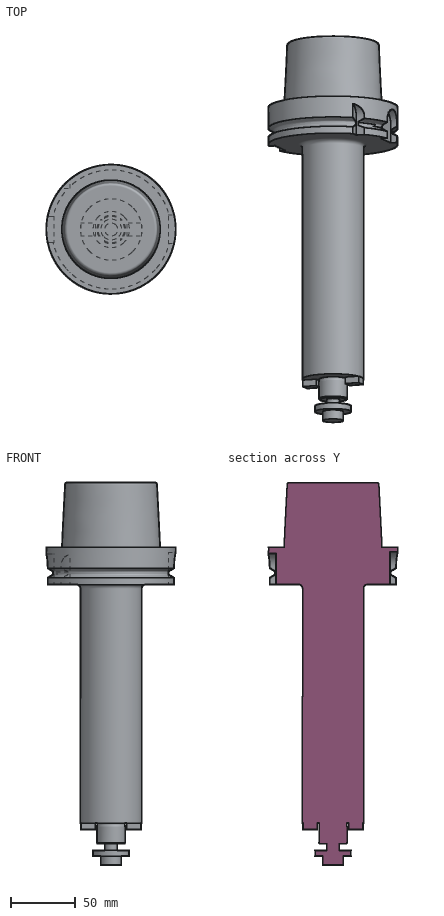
import cadquery as cq
import math


shank_height = 50.0
shank_base_dia = 76.0
shank_taper = 0.1
shank_edge_radius = 2.0

flange_dia = 100.0
flange_height = 29.0
groove_centre_depth = 20.0
groove_root_dia = 92.0
groove_root_width = 2.7
groove_root_fillet = 1.0
groove_half_angle = 30.0

body_dia = 47.5
body_bottom_z = -213.0
body_fillet = 3.0

spigot_dia = 22.0
spigot_length = 16.0
spigot_chamfer = 0.8
relief_dia = 21.4
relief_length = 2.5
relief_runout_angle = 15.0

screw_neck_dia = 10.0
screw_collar_dia = 28.0
screw_collar_thickness = 4.5
screw_head_dia = 16.0
screw_head_height = 7.0
screw_bottom_z = -245.5

key_outer_distance = 23.3
key_width = 10.0
key_height = 5.0
key_inner_distance = 12.0

slot_centre_depth = 15.0
slot_floor_distance = 44.0
left_slot_width = 20.0
right_slot_width = 22.0
side_notch_width = 20.0
side_notch_centre_y = 41.5
side_notch_floor_distance = 32.0


def cylinder(diameter, top_z, bottom_z):
    """Cylinder on the Z axis between two heights."""
    return cq.Workplane("XY").workplane(offset=bottom_z).circle(diameter / 2).extrude(top_z - bottom_z)


def taper_shank():
    top_dia = shank_base_dia - shank_taper * shank_height
    cone = (
        cq.Workplane("XY")
        .circle(shank_base_dia / 2)
        .workplane(offset=shank_height)
        .circle(top_dia / 2)
        .loft()
    )
    return cone.faces(">Z").edges().fillet(shank_edge_radius)


def flange():
    rim_radius = flange_dia / 2
    root_radius = groove_root_dia / 2
    flank_height = (rim_radius - root_radius) * math.tan(math.radians(groove_half_angle))
    root_half_width = groove_root_width / 2
    mouth_half_width = root_half_width + flank_height
    groove = (
        cq.Workplane("XZ")
        .moveTo(rim_radius, -groove_centre_depth + mouth_half_width)
        .lineTo(root_radius, -groove_centre_depth + root_half_width)
        .lineTo(root_radius, -groove_centre_depth - root_half_width)
        .lineTo(rim_radius, -groove_centre_depth - mouth_half_width)
        .close()
        .revolve(360, (0, 0, 0), (0, 1, 0))
    )
    groove = groove.edges(cq.selectors.RadiusNthSelector(0)).fillet(groove_root_fillet)
    return cylinder(flange_dia, 0, -flange_height).cut(groove)


def flange_slot(width, centre_y, floor_distance, side):
    """Cutter for a round-topped slot whose floor faces -X (side = -1) or +X (side = 1)."""
    radius = width / 2
    straight_length = flange_height - slot_centre_depth
    depth = flange_dia / 2 - floor_distance
    return (
        cq.Workplane("YZ", origin=(side * floor_distance, centre_y, -slot_centre_depth))
        .moveTo(-radius, -straight_length)
        .lineTo(-radius, 0)
        .threePointArc((0, radius), (radius, 0))
        .lineTo(radius, -straight_length)
        .close()
        .extrude(side * depth)
    )


def body():
    """Body with a concave fillet where it meets the flange underside."""
    radius = body_dia / 2
    flare_radius = radius + body_fillet
    fillet_end_z = -flange_height - body_fillet
    arc_offset = body_fillet * (1 - math.sqrt(0.5))
    return (
        cq.Workplane("XZ")
        .moveTo(0, -flange_height)
        .lineTo(flare_radius, -flange_height)
        .threePointArc((radius + arc_offset, -flange_height - arc_offset), (radius, fillet_end_z))
        .lineTo(radius, body_bottom_z)
        .lineTo(0, body_bottom_z)
        .close()
        .revolve(360, (0, 0, 0), (0, 1, 0))
    )


def spigot():
    """Spigot with a shallow undercut next to the body that runs out in a cone."""
    spigot_radius = spigot_dia / 2
    relief_radius = relief_dia / 2
    spigot_bottom_z = body_bottom_z - spigot_length
    relief_bottom_z = body_bottom_z - relief_length
    runout_length = (spigot_radius - relief_radius) / math.tan(math.radians(relief_runout_angle))
    return (
        cq.Workplane("XZ")
        .moveTo(0, body_bottom_z)
        .lineTo(relief_radius, body_bottom_z)
        .lineTo(relief_radius, relief_bottom_z + runout_length)
        .lineTo(spigot_radius, relief_bottom_z)
        .lineTo(spigot_radius, spigot_bottom_z + spigot_chamfer)
        .lineTo(spigot_radius - spigot_chamfer, spigot_bottom_z)
        .lineTo(0, spigot_bottom_z)
        .close()
        .revolve(360, (0, 0, 0), (0, 1, 0))
    )


def clamping_screw():
    collar_bottom_z = screw_bottom_z + screw_head_height
    collar_top_z = collar_bottom_z + screw_collar_thickness
    neck = cylinder(screw_neck_dia, body_bottom_z - spigot_length, collar_top_z)
    collar = cylinder(screw_collar_dia, collar_top_z, collar_bottom_z)
    head = cylinder(screw_head_dia, collar_bottom_z, screw_bottom_z)
    return neck.union(collar).union(head)


def driving_keys():
    """Two opposite block keys along X, clear of the spigot."""
    key_length = key_outer_distance - key_inner_distance
    key_centre_x = key_inner_distance + key_length / 2
    return (
        cq.Workplane("XY")
        .workplane(offset=body_bottom_z - key_height)
        .pushPoints([(-key_centre_x, 0), (key_centre_x, 0)])
        .rect(key_length, key_width)
        .extrude(key_height)
    )


slotted_flange = (
    flange()
    .cut(flange_slot(left_slot_width, 0, slot_floor_distance, -1))
    .cut(flange_slot(right_slot_width, 0, slot_floor_distance, 1))
    .cut(flange_slot(side_notch_width, side_notch_centre_y, side_notch_floor_distance, -1))
)

result = (
    slotted_flange
    .union(taper_shank())
    .union(body())
    .union(spigot())
    .union(clamping_screw())
    .union(driving_keys())
)